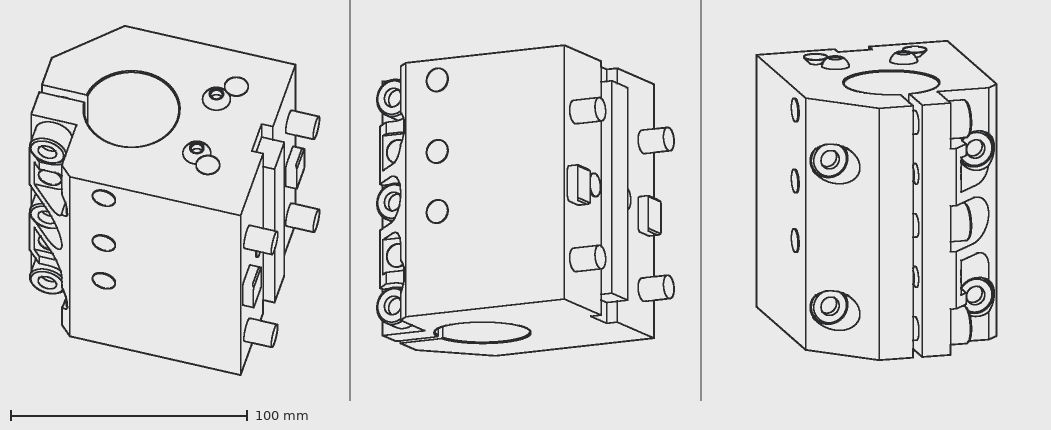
import cadquery as cq
import math

BODY_LENGTH = 100.0
BODY_WIDTH = 84.0
BODY_HEIGHT = 110.0
HALF_WIDTH = BODY_WIDTH / 2
CORNER_CHAMFER = 25.0

BORE_X = 40.0
BORE_DIAMETER = 40.0
BORE_CHAMFER = 0.5
SLIT_WIDTH = 4.0

SHANK_DIAMETER = 10.0
HEAD_DIAMETER = 16.0
HEAD_HEIGHT = 10.0
HEAD_EDGE_CHAMFER = 0.8
SOCKET_DIAMETER = 8.0
SOCKET_DEPTH = 4.0
SOCKET_CONE_DEPTH = 2.0

CLAMP_X = 10.0
CLAMP_MIDDLE_Z = BODY_HEIGHT / 2
CLAMP_PITCH = 45.0
CLAMP_SCREW_END_Y = 20.0
POCKET_WALL_X = 20.0
CLAMP_SEAT_Y = -14.5
CLAMP_POCKET_WIDTH = 20.0

SPREAD_OFFSET_Z = CLAMP_PITCH / 2
SPREAD_SEAT_Y = -20.0
SPREAD_POCKET_START_X = 3.0
SPREAD_POCKET_WIDTH = 15.0
SPREAD_TIP_LENGTH = 1.4
SPREAD_TIP_BASE_DIAMETER = 9.0
SPREAD_TIP_END_DIAMETER = 6.0

STEP_SEAT_Y = -23.0
STEP_START_X = 6.0

MOUNT_Y = 32.0
MOUNT_MIDDLE_Z = 51.0
MOUNT_PITCH_Z = 64.0
MOUNT_HEAD_FACE_X = 22.5
MOUNT_COUNTERBORE_DIAMETER = 17.0
MOUNT_SCREW_END_X = 112.0

KEY_WIDTH = 15.0
KEY_THICKNESS = 10.0
KEY_LENGTH = 92.0
KEY_GROOVE_DEPTH = 5.0
PAD_INNER_Y = 27.0
PAD_OUTER_Y = 39.0
PAD_HEIGHT = 15.4
PAD_THICKNESS = 4.8
PAD_CORNER_RADIUS = 2.0
PAD_CHAMFER = 0.8

DISC_DIAMETER = 10.0
DISC_HEIGHT = 0.5
SIDE_DISC_X = 40.0
SIDE_DISC_HEIGHTS = (44.0, 70.0, 101.0)
BACK_DISC_Y = 14.2
BACK_DISC_Z = BODY_HEIGHT / 2

NOZZLE_X = 73.0
NOZZLE_Y = 15.0
NOZZLE_HEIGHT = 3.55
NOZZLE_BASE_RADIUS = 5.9
NOZZLE_TOP_RADIUS = 3.0
NOZZLE_HOLE_RADIUS = 2.4
NOZZLE_HOLE_CHAMFER = 0.4
NOZZLE_HOLE_DEPTH = 3.5
PLUG_OFFSET = 6.8
PLUG_RADIUS = 5.0
PLUG_HEIGHT = 2.8
PLUG_RIM = 0.3

OVERLAP = 1.0


def box_between(x_range, y_range, z_range):
    corner = cq.Vector(x_range[0], y_range[0], z_range[0])
    return cq.Workplane(
        cq.Solid.makeBox(
            x_range[1] - x_range[0], y_range[1] - y_range[0], z_range[1] - z_range[0], corner
        )
    )


def rod(start, direction, diameter, length):
    return cq.Workplane(
        cq.Solid.makeCylinder(diameter / 2, length, cq.Vector(*start), cq.Vector(*direction))
    )


def cap_screw(head_face, direction, length):
    """Cap screw whose head face is centred at head_face and whose shank points along direction."""
    head_radius = HEAD_DIAMETER / 2
    shank_radius = SHANK_DIAMETER / 2
    socket_radius = SOCKET_DIAMETER / 2
    plane = cq.Plane(origin=head_face, xDir=(0, 0, 1), normal=direction)
    head = cq.Workplane(plane).circle(head_radius).extrude(HEAD_HEIGHT)
    head = head.edges(cq.NearestToPointSelector(head_face)).chamfer(HEAD_EDGE_CHAMFER)
    shank = cq.Workplane(plane).circle(shank_radius).extrude(length)
    socket = cq.Workplane(plane).circle(socket_radius).extrude(SOCKET_DEPTH)
    cone = cq.Workplane(
        cq.Solid.makeCone(
            socket_radius,
            0,
            SOCKET_CONE_DEPTH,
            cq.Vector(*head_face) + cq.Vector(*direction) * SOCKET_DEPTH,
            cq.Vector(*direction),
        )
    )
    return head.union(shank).cut(socket).cut(cone)


def make_body():
    body = (
        cq.Workplane("XY")
        .rect(BODY_LENGTH, BODY_WIDTH)
        .extrude(BODY_HEIGHT)
        .edges("|Z and <X")
        .chamfer(CORNER_CHAMFER)
        .translate((BODY_LENGTH / 2, 0, 0))
    )
    body = body.cut(rod((BORE_X, 0, 0), (0, 0, 1), BORE_DIAMETER, BODY_HEIGHT))
    body = body.edges("%CIRCLE").chamfer(BORE_CHAMFER)
    half_slit = SLIT_WIDTH / 2
    slit = box_between((0, BORE_X), (-half_slit, half_slit), (0, BODY_HEIGHT))
    half_key = KEY_WIDTH / 2
    groove_start = BODY_LENGTH - KEY_GROOVE_DEPTH
    groove = box_between((groove_start, BODY_LENGTH), (-half_key, half_key), (0, BODY_HEIGHT))
    return body.cut(slit).cut(groove)


def round_ended_pocket(start_x, seat_y, width, z):
    """Pocket open to -Y, with a flat side at start_x and a round end touching the pocket wall."""
    radius = width / 2
    round_x = POCKET_WALL_X - radius
    straight = box_between((start_x, round_x), (-HALF_WIDTH, seat_y), (z - radius, z + radius))
    depth = HALF_WIDTH + seat_y
    return straight.union(rod((round_x, -HALF_WIDTH, z), (0, 1, 0), width, depth))


def cut_clamp_pockets(body):
    for row in (-1, 0, 1):
        z = CLAMP_MIDDLE_Z + row * CLAMP_PITCH
        body = body.cut(round_ended_pocket(0, CLAMP_SEAT_Y, CLAMP_POCKET_WIDTH, z))
    for side in (-1, 1):
        clamp_z = CLAMP_MIDDLE_Z + side * CLAMP_PITCH
        spread_z = CLAMP_MIDDLE_Z + side * SPREAD_OFFSET_Z
        end_z = CLAMP_MIDDLE_Z + side * BODY_HEIGHT / 2
        body = body.cut(
            round_ended_pocket(SPREAD_POCKET_START_X, SPREAD_SEAT_Y, SPREAD_POCKET_WIDTH, spread_z)
        )
        step_z = sorted((spread_z, clamp_z))
        body = body.cut(
            box_between((STEP_START_X, POCKET_WALL_X), (-HALF_WIDTH, STEP_SEAT_Y), step_z)
        )
        corner_z = sorted((clamp_z, end_z))
        body = body.cut(box_between((0, POCKET_WALL_X), (-HALF_WIDTH, CLAMP_SEAT_Y), corner_z))
    return body


def add_clamp_screws(body):
    head_face_y = CLAMP_SEAT_Y - HEAD_HEIGHT
    for row in (-1, 0, 1):
        z = CLAMP_MIDDLE_Z + row * CLAMP_PITCH
        length = CLAMP_SCREW_END_Y - head_face_y
        body = body.union(cap_screw((CLAMP_X, head_face_y, z), (0, 1, 0), length))
    return body


def add_spread_screws(body):
    """Sealing disc on each spreading-screw seat and the screw tip standing out into the slit."""
    for side in (-1, 1):
        z = CLAMP_MIDDLE_Z + side * SPREAD_OFFSET_Z
        tip = cq.Solid.makeCone(
            SPREAD_TIP_BASE_DIAMETER / 2,
            SPREAD_TIP_END_DIAMETER / 2,
            SPREAD_TIP_LENGTH,
            cq.Vector(CLAMP_X, -SLIT_WIDTH / 2, z),
            cq.Vector(0, 1, 0),
        )
        disc_start = (CLAMP_X, SPREAD_SEAT_Y + OVERLAP, z)
        disc = rod(disc_start, (0, -1, 0), DISC_DIAMETER, DISC_HEIGHT + OVERLAP)
        body = body.union(cq.Workplane(tip)).union(disc)
    return body


def mount_positions():
    return [
        (y, MOUNT_MIDDLE_Z + side * MOUNT_PITCH_Z / 2)
        for y in (-MOUNT_Y, MOUNT_Y)
        for side in (-1, 1)
    ]


def cut_mount_counterbores(body):
    depth = MOUNT_HEAD_FACE_X + HEAD_HEIGHT
    for y, z in mount_positions():
        body = body.cut(rod((0, y, z), (1, 0, 0), MOUNT_COUNTERBORE_DIAMETER, depth))
    return body


def add_mount_screws(body):
    length = MOUNT_SCREW_END_X - MOUNT_HEAD_FACE_X
    for y, z in mount_positions():
        body = body.union(cap_screw((MOUNT_HEAD_FACE_X, y, z), (1, 0, 0), length))
    return body


def add_key_and_pads(body):
    key_start = BODY_LENGTH - KEY_GROOVE_DEPTH
    middle_z = BODY_HEIGHT / 2
    key = box_between(
        (key_start, key_start + KEY_THICKNESS),
        (-KEY_WIDTH / 2, KEY_WIDTH / 2),
        (middle_z - KEY_LENGTH / 2, middle_z + KEY_LENGTH / 2),
    )
    body = body.union(key)
    pad = (
        box_between(
            (BODY_LENGTH - OVERLAP, BODY_LENGTH + PAD_THICKNESS),
            (PAD_INNER_Y, PAD_OUTER_Y),
            (MOUNT_MIDDLE_Z - PAD_HEIGHT / 2, MOUNT_MIDDLE_Z + PAD_HEIGHT / 2),
        )
        .edges("|Y and >X")
        .chamfer(PAD_CHAMFER)
        .edges("|X")
        .fillet(PAD_CORNER_RADIUS)
    )
    return body.union(pad).union(pad.mirror("XZ"))


def add_sealing_discs(body):
    length = DISC_HEIGHT + OVERLAP
    for side in (-1, 1):
        inner_y = side * (HALF_WIDTH - OVERLAP)
        for z in SIDE_DISC_HEIGHTS:
            body = body.union(rod((SIDE_DISC_X, inner_y, z), (0, side, 0), DISC_DIAMETER, length))
        back_start = (BODY_LENGTH - OVERLAP, side * BACK_DISC_Y, BACK_DISC_Z)
        body = body.union(rod(back_start, (1, 0, 0), DISC_DIAMETER, length))
    return body


def make_nozzle():
    """Domed nozzle, standing on Z = 0: a slice of a sphere through its base and top circles."""
    centre_z = (NOZZLE_HEIGHT**2 + NOZZLE_TOP_RADIUS**2 - NOZZLE_BASE_RADIUS**2) / (2 * NOZZLE_HEIGHT)
    sphere_radius = math.hypot(NOZZLE_BASE_RADIUS, centre_z)
    middle_z = NOZZLE_HEIGHT / 2
    middle_radius = math.sqrt(sphere_radius**2 - (middle_z - centre_z) ** 2)
    return (
        cq.Workplane("XZ")
        .moveTo(0, -OVERLAP)
        .lineTo(NOZZLE_BASE_RADIUS, -OVERLAP)
        .lineTo(NOZZLE_BASE_RADIUS, 0)
        .threePointArc((middle_radius, middle_z), (NOZZLE_TOP_RADIUS, NOZZLE_HEIGHT))
        .lineTo(NOZZLE_HOLE_RADIUS + NOZZLE_HOLE_CHAMFER, NOZZLE_HEIGHT)
        .lineTo(NOZZLE_HOLE_RADIUS, NOZZLE_HEIGHT - NOZZLE_HOLE_CHAMFER)
        .lineTo(NOZZLE_HOLE_RADIUS, NOZZLE_HEIGHT - NOZZLE_HOLE_DEPTH)
        .lineTo(0, NOZZLE_HEIGHT - NOZZLE_HOLE_DEPTH)
        .close()
        .revolve(360, (0, 0), (0, 1))
    )


def make_plug():
    """Plug standing on Z = 0 that widens at 45 degrees to a thin rim."""
    cone_height = PLUG_HEIGHT - PLUG_RIM
    base_radius = PLUG_RADIUS - cone_height
    return (
        cq.Workplane("XZ")
        .moveTo(0, -OVERLAP)
        .lineTo(base_radius, -OVERLAP)
        .lineTo(base_radius, 0)
        .lineTo(PLUG_RADIUS, cone_height)
        .lineTo(PLUG_RADIUS, PLUG_HEIGHT)
        .lineTo(0, PLUG_HEIGHT)
        .close()
        .revolve(360, (0, 0), (0, 1))
    )


def add_nozzles_and_plugs(body):
    for side in (-1, 1):
        nozzle = make_nozzle().translate((NOZZLE_X, side * NOZZLE_Y, BODY_HEIGHT))
        plug_y = side * (NOZZLE_Y + PLUG_OFFSET)
        plug = make_plug().translate((NOZZLE_X + PLUG_OFFSET, plug_y, BODY_HEIGHT))
        body = body.union(nozzle).union(plug)
    return body


part = make_body()
part = cut_clamp_pockets(part)
part = cut_mount_counterbores(part)
part = add_clamp_screws(part)
part = add_spread_screws(part)
part = add_mount_screws(part)
part = add_key_and_pads(part)
part = add_sealing_discs(part)
result = add_nozzles_and_plugs(part)